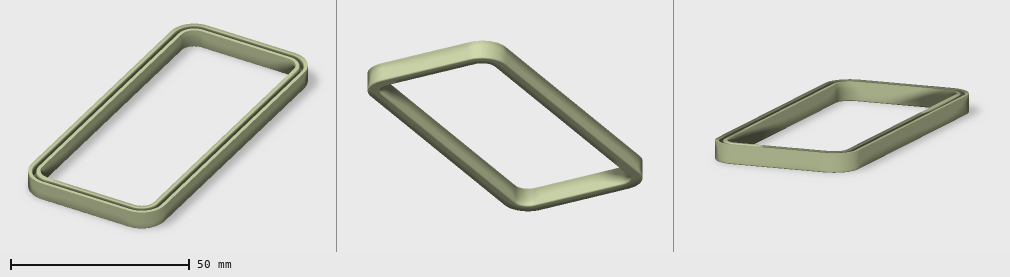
import cadquery as cq
import math

length_x = 43.0
length_y = 93.3
height = 5.5
corner_radius = 7.5
wall_width = 3.45

groove_mouth_width = 1.7
lip_radius = 0.3
groove_draft = math.radians(4)
groove_depth = 2.8

bottom_radius = 0.4


def make_path():
    """Rounded rectangle along the bottom of the outer side, starting on the +X side."""
    half_x = length_x / 2
    half_y = length_y / 2
    straight_x = half_x - corner_radius
    straight_y = half_y - corner_radius
    return (
        cq.Workplane("XY")
        .moveTo(half_x, 0)
        .lineTo(half_x, straight_y)
        .radiusArc((straight_x, half_y), -corner_radius)
        .lineTo(-straight_x, half_y)
        .radiusArc((-half_x, straight_y), -corner_radius)
        .lineTo(-half_x, -straight_y)
        .radiusArc((-straight_x, -half_y), -corner_radius)
        .lineTo(straight_x, -half_y)
        .radiusArc((half_x, -straight_y), -corner_radius)
        .close()
    )


def make_section():
    """Cross-section of the wall with its groove, at the middle of the +X side."""
    outer = length_x / 2
    inner = outer - wall_width
    middle = outer - wall_width / 2

    mouth_half = groove_mouth_width / 2
    throat_half = mouth_half - lip_radius * math.cos(groove_draft)
    throat_level = height - lip_radius * (1 - math.sin(groove_draft))
    floor_level = height - groove_depth
    floor_half = throat_half - (throat_level - floor_level) * math.tan(groove_draft)

    return (
        cq.Workplane("XZ")
        .moveTo(inner, bottom_radius)
        .radiusArc((inner + bottom_radius, 0), -bottom_radius)
        .lineTo(outer - bottom_radius, 0)
        .radiusArc((outer, bottom_radius), -bottom_radius)
        .lineTo(outer, height)
        .lineTo(middle + mouth_half, height)
        .radiusArc((middle + throat_half, throat_level), -lip_radius)
        .lineTo(middle + floor_half, floor_level)
        .lineTo(middle - floor_half, floor_level)
        .lineTo(middle - throat_half, throat_level)
        .radiusArc((middle - mouth_half, height), -lip_radius)
        .lineTo(inner, height)
        .close()
    )


result = make_section().sweep(make_path())